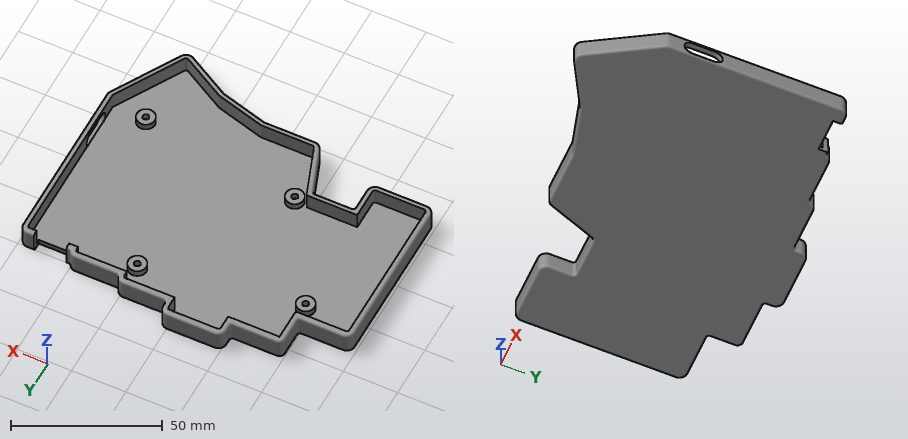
import cadquery as cq
import math

height = 8.4
length = 118.2
wall = 2.0
floor_thickness = wall

cavity_corner_radius = 1.0
outer_concave_radius = 1.0
rim_radius = 1.0
shallow_bend = 20.0

left = wall
right = length - wall
bottom_left_y = 23.7
step_x = 21.3
bump_left = 40.2
bump_right = 59.5
cavity_corners = [
    (left, bottom_left_y, True),
    (left, 81.2, True),
    (step_x, 81.2, False),
    (step_x, 93.1, False),
    (bump_left, 93.1, False),
    (bump_left, 99.2, True),
    (bump_right, 99.2, True),
    (bump_right, 93.8, False),
    (78.5, 93.8, True),
    (78.5, 91.1, False),
    (97.5, 91.1, True),
    (97.5, 89.1, False),
    (right, 89.1, True),
    (right, 26.7, True),
    (101.5, 1.7, True),
    (84.7, 11.2, False),
    (66.9, 16.2, False),
    (47.3, 16.2, True),
    (40.2, 35.8, False),
    (21.5, 35.8, False),
    (21.5, bottom_left_y, True),
]

post_diameter = 6.6
post_hole_diameter = 2.2
post_height = 2.5
post_centers = [(21.3, 74.0), (78.3, 83.8), (44.8, 35.2), (103.6, 27.3)]

notch_left = 100.8
notch_right = 112.7
notch_front_y = 87.7
notch_depth = 5.9

slot_center_y = 38.9
slot_length = 13.7
slot_bottom = 0.7
slot_height = 6.0


def make_cavity_outline():
    """Cavity outline, rounded only at the corners marked as rounded."""
    points = [cq.Vector(x, y) for x, y, _ in cavity_corners]
    outline = cq.Wire.makePolygon(points, close=True)
    rounded = [(x, y) for x, y, is_rounded in cavity_corners if is_rounded]
    vertices = [v for v in outline.Vertices() if (v.X, v.Y) in rounded]
    return outline.fillet2D(cavity_corner_radius, vertices)


def extrude(outline, bottom, top):
    prism = cq.Solid.extrudeLinear(outline, [], cq.Vector(0, 0, top - bottom))
    return cq.Workplane(prism.translate(cq.Vector(0, 0, bottom)))


def is_sharp(edge, body):
    """True where the two side faces meeting at the edge turn by more than a shallow bend."""
    first, second = edge.ancestors(body, "Face").Faces()
    middle = edge.Center()
    turn = first.normalAt(middle).getSignedAngle(second.normalAt(middle))
    return abs(turn) > math.radians(shallow_bend)


def make_tray():
    """Hollow tray: the outer side is offset from the cavity by the wall thickness."""
    cavity_outline = make_cavity_outline()
    outer_outline = cavity_outline.offset2D(wall, "arc")[0]
    block = extrude(outer_outline, 0, height)
    body = block.val()
    inward_corners = [e for e in block.edges("|Z").vals() if is_sharp(e, body)]
    block = block.newObject(inward_corners).fillet(outer_concave_radius)
    block = block.faces("<Z or >Z").edges().fillet(rim_radius)
    return block.cut(extrude(cavity_outline, floor_thickness, height))


def make_posts():
    return (
        cq.Workplane()
        .workplane(offset=floor_thickness)
        .pushPoints(post_centers)
        .circle(post_diameter / 2)
        .circle(post_hole_diameter / 2)
        .extrude(post_height)
    )


def make_notch():
    notch = cq.Workplane().box(notch_right - notch_left, notch_depth, height, centered=False)
    return notch.translate((notch_left, notch_front_y, 0))


def make_slot():
    return (
        cq.Workplane("YZ", origin=(right, slot_center_y, slot_bottom + slot_height / 2))
        .slot2D(slot_length, slot_height)
        .extrude(wall)
    )


result = make_tray().union(make_posts()).cut(make_notch()).cut(make_slot())